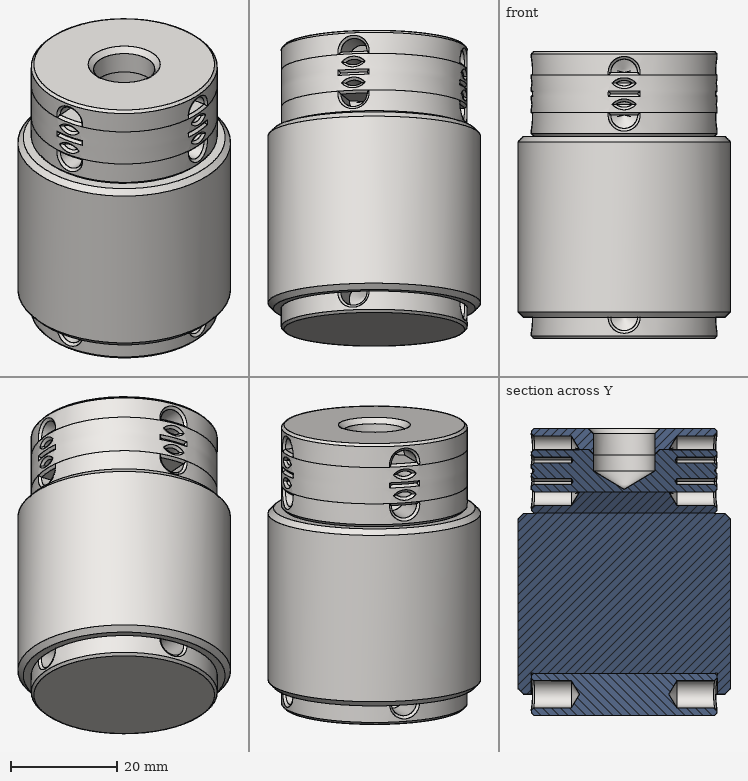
import cadquery as cq
import math

TOTAL_HEIGHT = 54.0

HEAD_DIAMETER = 35.0
HEAD_HEIGHT = 8.0
HEAD_CHAMFER = 0.5
HEAD_STEP = HEAD_HEIGHT / 2

BAR_HOLE_DIAMETER = 5.0
BAR_HOLE_DEPTH = 7.55
BAR_HOLE_CHAMFER = 0.5
BAR_HOLE_COUNT = 4

BORE_DIAMETER = 11.5
BORE_DEPTH = HEAD_HEIGHT
BORE_CHAMFER = 1.0

DRILL_POINT_ANGLE = 118.0

UPPER_BASE = TOTAL_HEIGHT - HEAD_HEIGHT
MIDDLE_BASE = UPPER_BASE - HEAD_STEP
LOWER_BASE = MIDDLE_BASE - HEAD_STEP
BOTTOM_BASE = 0.0

SLEEVE_DIAMETER = 40.0
SLEEVE_CHAMFER = 1.0
SLEEVE_BASE = BOTTOM_BASE + HEAD_HEIGHT / 2
SLEEVE_HEIGHT = LOWER_BASE - SLEEVE_BASE


def disc(diameter, height, base):
    return cq.Workplane("XY").workplane(offset=base).circle(diameter / 2).extrude(height)


def drilled_hole(diameter, depth):
    """Hole going down from the origin: a cylinder with a conical point."""
    radius = diameter / 2
    point_length = radius / math.tan(math.radians(DRILL_POINT_ANGLE / 2))
    outline = [(0, 0), (radius, 0), (radius, -depth), (0, -depth - point_length)]
    return cq.Workplane("XZ").polyline(outline).close().revolve(360, (0, 0, 0), (0, 1, 0))


def bore_mouth(top):
    """Conical chamfer at the mouth of a bore whose top face is at the given height."""
    radius = BORE_DIAMETER / 2
    cone = cq.Solid.makeCone(radius, radius + BORE_CHAMFER, BORE_CHAMFER)
    return cq.Workplane(cone).translate((0, 0, top - BORE_CHAMFER))


def head_blank(base):
    """Chamfered disc without holes."""
    return disc(HEAD_DIAMETER, HEAD_HEIGHT, base).edges().chamfer(HEAD_CHAMFER)


def around_mouth(angle, height):
    """Selector for the edges of the bar hole mouth at the given angle."""
    radius = HEAD_DIAMETER / 2
    center = (radius * math.cos(angle), radius * math.sin(angle), height)
    reach = BAR_HOLE_DIAMETER / 2
    low = [value - reach for value in center]
    high = [value + reach for value in center]
    return cq.selectors.BoxSelector(low, high)


def head(base):
    """Chamfered disc with its ring of bar holes."""
    height = base + HEAD_HEIGHT / 2
    hole = drilled_hole(BAR_HOLE_DIAMETER, BAR_HOLE_DEPTH).rotate((0, 0, 0), (0, 1, 0), 90)
    hole = hole.translate((HEAD_DIAMETER / 2, 0, height))
    body = head_blank(base)
    angles = [index * 360 / BAR_HOLE_COUNT for index in range(BAR_HOLE_COUNT)]
    for angle in angles:
        body = body.cut(hole.rotate((0, 0, 0), (0, 0, 1), angle))
    mouths = []
    for angle in angles:
        mouths += body.edges(around_mouth(math.radians(angle), height)).vals()
    return body.newObject(mouths).chamfer(BAR_HOLE_CHAMFER)


upper_full = head(UPPER_BASE)
middle_full = head(MIDDLE_BASE)
lower_full = head(LOWER_BASE)
bore = drilled_hole(BORE_DIAMETER, BORE_DEPTH).translate((0, 0, TOTAL_HEIGHT))

middle_outside = head_blank(MIDDLE_BASE)
middle_blank = middle_outside.cut(bore_mouth(MIDDLE_BASE + HEAD_HEIGHT))
stack = upper_full.union(middle_full, clean=False).union(lower_full, clean=False)
middle_head = stack.intersect(middle_blank, clean=False).cut(bore, clean=False)

upper_head = upper_full.cut(middle_blank).cut(bore).cut(bore_mouth(TOTAL_HEIGHT))

lower_head = lower_full.cut(middle_outside)

bottom_head = head(BOTTOM_BASE)

sleeve = disc(SLEEVE_DIAMETER, SLEEVE_HEIGHT, SLEEVE_BASE).edges().chamfer(SLEEVE_CHAMFER)
sleeve = sleeve.cut(disc(HEAD_DIAMETER, HEAD_HEIGHT, BOTTOM_BASE))

result = cq.Compound.makeCompound(
    [
        *upper_head.solids().vals(),
        *middle_head.solids().vals(),
        *lower_head.solids().vals(),
        *bottom_head.solids().vals(),
        *sleeve.solids().vals(),
    ]
)